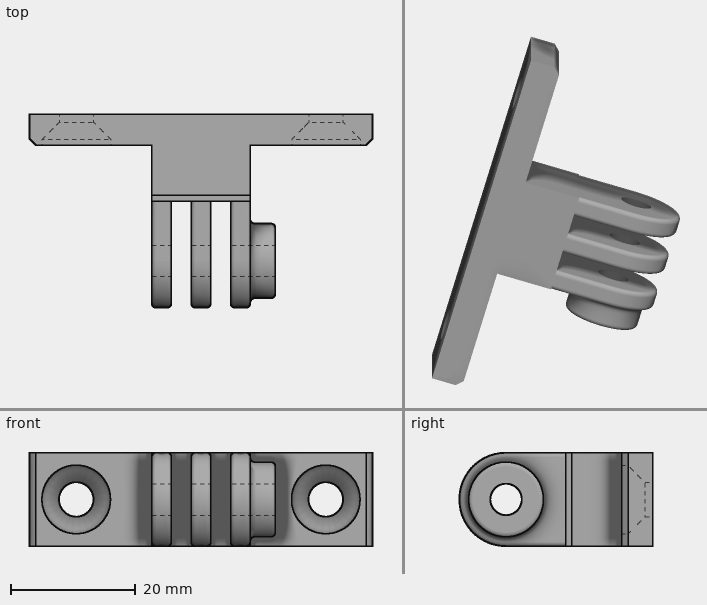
import cadquery as cq
import math

plate_length = 55.0
total_depth = 31.0
height = 15.0

plate_thickness = 5.0
corner_chamfer = 1.05
block_width = 15.8
block_depth = 8.0

screw_spacing = 40.0
screw_hole_diameter = 5.5
countersink_diameter = 11.0
countersink_mouth_depth = 1.0
countersink_cone_depth = (countersink_diameter - screw_hole_diameter) / 2

finger_count = 3
base_thickness = 1.0
edge_radius = 0.7
pivot_hole_diameter = 5.0

boss_diameter = 12.0
boss_length = 4.0

finger_width = block_width / (2 * finger_count - 1)
finger_pitch = 2 * finger_width
plate_front_y = -plate_thickness
block_front_y = plate_front_y - block_depth
base_front_y = block_front_y - base_thickness
tip_radius = height / 2
pivot_y = -total_depth + tip_radius
tip_y = -total_depth


def box_between(width, back_y, front_y):
    """Box centred on X and Z, reaching from back_y to front_y."""
    return (
        cq.Workplane("XY")
        .box(width, back_y - front_y, height)
        .translate((0, (back_y + front_y) / 2, 0))
    )


def make_screw_cutter(x):
    """Hole profile turned about the screw axis, with its wide mouth at the plate front."""
    hole_radius = screw_hole_diameter / 2
    mouth_radius = countersink_diameter / 2
    cone_start_y = plate_front_y + countersink_mouth_depth
    cone_end_y = cone_start_y + countersink_cone_depth
    return (
        cq.Workplane("XY")
        .moveTo(0, 0)
        .lineTo(hole_radius, 0)
        .lineTo(hole_radius, cone_end_y)
        .lineTo(mouth_radius, cone_start_y)
        .lineTo(mouth_radius, plate_front_y)
        .lineTo(0, plate_front_y)
        .close()
        .revolve(360, (0, 0, 0), (0, 1, 0))
        .translate((x, 0, 0))
    )


def make_mount():
    """Plate with chamfered front ends, central block and two screw holes."""
    plate = box_between(plate_length, 0, plate_front_y)
    plate = plate.faces("<Y").edges("|Z").chamfer(corner_chamfer)
    mount = plate.union(box_between(block_width, plate_front_y, block_front_y))
    for side in (-1, 1):
        mount = mount.cut(make_screw_cutter(side * screw_spacing / 2))
    return mount


def make_finger_base():
    """Thin plate between the block and the fingers."""
    return box_between(block_width, block_front_y, base_front_y)


def make_finger_blank(center_x):
    """Finger with a round tip and rounded outline edges, without its pivot hole."""
    blank = (
        cq.Workplane("YZ")
        .moveTo(base_front_y, -tip_radius)
        .lineTo(pivot_y, -tip_radius)
        .threePointArc((tip_y, 0), (pivot_y, tip_radius))
        .lineTo(base_front_y, tip_radius)
        .close()
        .extrude(finger_width)
        .translate((center_x - finger_width / 2, 0, 0))
    )
    return blank.faces("<X or >X").edges("not(>Y)").fillet(edge_radius)


def make_boss(start_x):
    """Round boss with a flared foot and a rounded outer rim."""
    radius = boss_diameter / 2
    end_x = start_x + boss_length
    bend = edge_radius * (1 - math.sqrt(0.5))
    return (
        cq.Workplane("XY")
        .moveTo(start_x, 0)
        .lineTo(start_x, radius + edge_radius)
        .threePointArc((start_x + bend, radius + bend), (start_x + edge_radius, radius))
        .lineTo(end_x - edge_radius, radius)
        .threePointArc((end_x - bend, radius - bend), (end_x, radius - edge_radius))
        .lineTo(end_x, 0)
        .close()
        .revolve(360, (0, 0, 0), (1, 0, 0))
        .translate((0, pivot_y, 0))
    )


def make_pivot_cutter():
    """Cylinder through all fingers and the boss."""
    return (
        cq.Workplane("YZ")
        .center(pivot_y, 0)
        .circle(pivot_hole_diameter / 2)
        .extrude(plate_length / 2, both=True)
    )


def make_finger(index):
    """One finger; the last one carries the boss."""
    center_x = (index - (finger_count - 1) / 2) * finger_pitch
    finger = make_finger_blank(center_x)
    if index == finger_count - 1:
        finger = finger.union(make_boss(center_x + finger_width / 2))
    return finger.cut(make_pivot_cutter())


mount = make_mount()
finger_base = make_finger_base()
fingers = [make_finger(index) for index in range(finger_count)]

result = cq.Compound.makeCompound(
    [mount.val(), finger_base.val(), *[finger.val() for finger in fingers]]
)